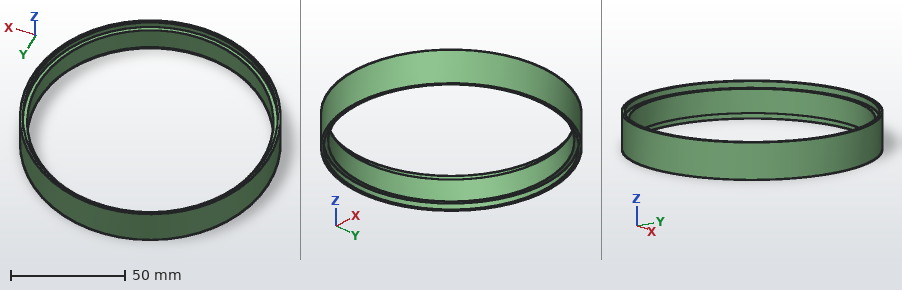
import cadquery as cq

outer_diameter = 114.0
height = 16.9

bore_diameter = 107.6
recess_diameter = 111.5
recess_depth = 3.0


def cylinder(diameter, length, base_z):
    """Solid cylinder on the ring axis, rising from base_z."""
    return cq.Workplane("XY").workplane(offset=base_z).circle(diameter / 2).extrude(length)


ring = cylinder(outer_diameter, height, 0).cut(cylinder(bore_diameter, height, 0))

for recess_base in (0, height - recess_depth):
    ring = ring.cut(cylinder(recess_diameter, recess_depth, recess_base))

result = ring